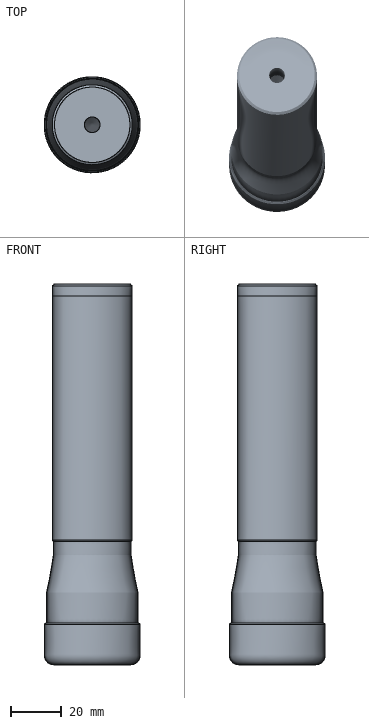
import cadquery as cq
import math

total_height = 150.9
head_diameter = 38.0
shaft_diameter = 31.7

head_fillet = 3.9
head_height = 16.6
head_chamfer = 0.6
collar_diameter = 36.2
collar_top = 28.5
neck_diameter = 30.8
flare_top = 43.5
flare_sag = 0.2
shaft_bottom = 48.9
shaft_bottom_chamfer = (shaft_diameter - neck_diameter) / 2

cap_thickness = 4.8
cap_chamfer = 0.9
hole_diameter = 6.2
hole_depth = 12.0
drill_point_angle = 118.0

head_radius = head_diameter / 2
collar_radius = collar_diameter / 2
neck_radius = neck_diameter / 2
shaft_radius = shaft_diameter / 2
hole_radius = hole_diameter / 2
cap_bottom = total_height - cap_thickness


def make_centre_hole():
    """Drilled hole with a conical bottom, open at the top end."""
    wall_bottom = total_height - hole_depth
    point_depth = hole_radius / math.tan(math.radians(drill_point_angle / 2))
    return (
        cq.Workplane("XZ")
        .moveTo(0, wall_bottom - point_depth)
        .lineTo(hole_radius, wall_bottom)
        .lineTo(hole_radius, total_height)
        .lineTo(0, total_height)
        .close()
        .revolve(360, (0, 0, 0), (0, 1, 0))
    )


def make_shank():
    """Round shank with a rounded head, a collar and a concave flare up to the neck."""
    fillet_inset = head_fillet * (1 - math.sqrt(0.5))
    flare_middle = (
        (collar_radius + neck_radius) / 2 - flare_sag,
        (collar_top + flare_top) / 2,
    )
    body = (
        cq.Workplane("XZ")
        .lineTo(head_radius - head_fillet, 0)
        .threePointArc((head_radius - fillet_inset, fillet_inset), (head_radius, head_fillet))
        .lineTo(head_radius, head_height - head_chamfer)
        .lineTo(head_radius - head_chamfer, head_height)
        .lineTo(collar_radius, head_height)
        .lineTo(collar_radius, collar_top)
        .threePointArc(flare_middle, (neck_radius, flare_top))
        .lineTo(neck_radius, shaft_bottom)
        .lineTo(shaft_radius, shaft_bottom + shaft_bottom_chamfer)
        .lineTo(shaft_radius, cap_bottom)
        .lineTo(0, cap_bottom)
        .close()
        .revolve(360, (0, 0, 0), (0, 1, 0))
    )
    return body.cut(make_centre_hole())


def make_end_cap():
    """Chamfered disc flush with the shaft, pierced by the centre hole."""
    disc = (
        cq.Workplane("XY")
        .workplane(offset=cap_bottom)
        .circle(shaft_radius)
        .extrude(cap_thickness)
        .faces(">Z")
        .edges()
        .chamfer(cap_chamfer)
    )
    return disc.cut(make_centre_hole())


shank = make_shank()
end_cap = make_end_cap()

result = cq.Compound.makeCompound([shank.val(), end_cap.val()])